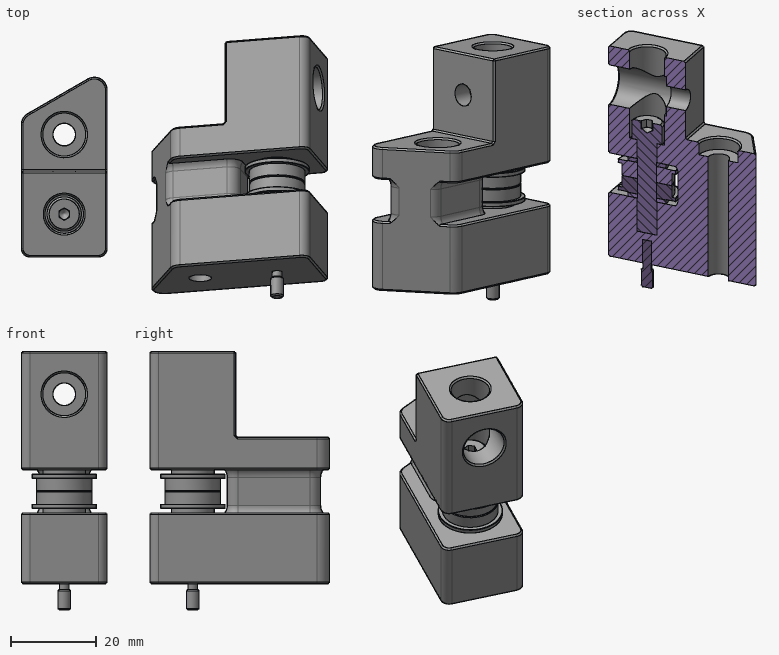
import cadquery as cq
import math

WIDTH = 20.0
HALF_WIDTH = WIDTH / 2
FRONT_Y = -HALF_WIDTH
TOWER_BACK_Y = HALF_WIDTH

SLOPE = math.radians(30)
LEFT_SIDE_LENGTH = 32.5
SLOPE_START_Y = FRONT_Y + LEFT_SIDE_LENGTH
FRONT_CORNER_RADIUS = 2.0
BACK_CORNER_RADIUS = 3.0
EDGE_CHAMFER = 0.4

BASE_HEIGHT = 16.5
GAP = 10.0
LEDGE_THICKNESS = 7.6
TOWER_RISE = 20.0
UPPER_Z = BASE_HEIGHT + GAP
LEDGE_Z = UPPER_Z + LEDGE_THICKNESS
TOP_Z = LEDGE_Z + TOWER_RISE

NECK_HALF_WIDTH = 11.5 / 2
NECK_FRONT_Y = 8.0
NECK_CORNER_RADIUS = 2.5
FLARE_RADIUS = 3.0
FLARE_HEIGHT = 1.75
FLARE_SLAB_THICKNESS = 5.0
FLARE_SLAB_SIZE = 60.0

BOLT_DIAMETER = 5.2
COUNTERBORE_DIAMETER = 10.0
LEDGE_BOLT_Y = 18.5
LEDGE_COUNTERBORE_DEPTH = 3.2
FRONT_BOLT_Z = (LEDGE_Z + TOP_Z) / 2
FRONT_COUNTERBORE_DEPTH = 15.0

SCREW_BORE_DIAMETER = 8.95
HEAD_SEAT_Z = 31.5
HEAD_DIAMETER = 8.0
HEAD_HEIGHT = 5.0
HEAD_CHAMFER = 0.5
SHANK_DIAMETER = 5.0
SHANK_END_Z = 8.0
SOCKET_ACROSS_FLATS = 2.5
SOCKET_ACROSS_CORNERS = SOCKET_ACROSS_FLATS / math.cos(math.pi / 6)
SOCKET_TURN = 30.0
SOCKET_DEPTH = 2.0
SOCKET_TIP_DEPTH = 0.8

BEARING_DIAMETER = 13.0
BEARING_WIDTH = 4.0
BEARING_CHAMFER = 0.2
FLANGE_DIAMETER = 15.0
FLANGE_THICKNESS = 1.0
FLANGE_CHAMFER = 0.1
WASHER_DIAMETER = 10.0
WASHER_THICKNESS = (GAP - 2 * BEARING_WIDTH) / 2

PIN_DIAMETER = 3.0
PIN_NECK_DIAMETER = 2.3
PIN_PROTRUSION = 6.1
PIN_NECK_EXPOSED = 1.3
PIN_INSERTION = 6.0


def cylinder(diameter, bottom_z, top_z):
    return cq.Workplane("XY").workplane(offset=bottom_z).circle(diameter / 2).extrude(top_z - bottom_z)


def sloped_prism(half_width, front_y, bottom_z, top_z, front_radius, back_radius):
    """Prism whose back face lies in the housing's sloping back plane."""
    def back_y(x):
        return SLOPE_START_Y + (x + HALF_WIDTH) * math.tan(SLOPE)

    corners = [
        (-half_width, front_y),
        (half_width, front_y),
        (half_width, back_y(half_width)),
        (-half_width, back_y(-half_width)),
    ]
    prism = cq.Workplane("XY").workplane(offset=bottom_z).polyline(corners).close().extrude(top_z - bottom_z)
    prism = prism.faces("<Y").edges("|Z").fillet(front_radius)
    return prism.faces(">Y").edges("|Z").fillet(back_radius)


def housing_prism(bottom_z, top_z):
    return sloped_prism(HALF_WIDTH, FRONT_Y, bottom_z, top_z, FRONT_CORNER_RADIUS, BACK_CORNER_RADIUS)


def make_base_block():
    return housing_prism(0, BASE_HEIGHT).faces("<Z or >Z").chamfer(EDGE_CHAMFER)


def make_upper_block():
    """Ledge and tower, with the inside corner between them filled to a bevel."""
    above_ledge = (
        cq.Workplane("XY", origin=(0, TOWER_BACK_Y, LEDGE_Z))
        .box(2 * WIDTH, 2 * LEFT_SIDE_LENGTH, TOWER_RISE, centered=(True, False, False))
    )
    block = housing_prism(UPPER_Z, TOP_Z).cut(above_ledge)
    ledge_face = cq.selectors.NearestToPointSelector((0, LEDGE_BOLT_Y, LEDGE_Z))
    tower_back_face = cq.selectors.NearestToPointSelector((0, TOWER_BACK_Y, FRONT_BOLT_Z))
    chamfered = block.faces("<Z or >Z").edges()
    chamfered = chamfered.add(block.faces(ledge_face).edges())
    chamfered = chamfered.add(block.faces(tower_back_face).edges("|Z"))
    return chamfered.chamfer(EDGE_CHAMFER)


def make_neck():
    """Neck flush with the sloping back, flaring along an arc that the blocks cut short.

    The arc is a fillet against two wide slabs set deeper than the block faces;
    only the part inside the housing outline and near the gap is kept.
    """
    lower_slab_z = BASE_HEIGHT + FLARE_HEIGHT - FLARE_RADIUS
    upper_slab_z = UPPER_Z - FLARE_HEIGHT + FLARE_RADIUS
    neck = sloped_prism(NECK_HALF_WIDTH, NECK_FRONT_Y, lower_slab_z, upper_slab_z,
                        NECK_CORNER_RADIUS, NECK_CORNER_RADIUS)
    for slab_z, thickness in ((lower_slab_z, -FLARE_SLAB_THICKNESS), (upper_slab_z, FLARE_SLAB_THICKNESS)):
        slab = (
            cq.Workplane("XY", origin=(0, LEDGE_BOLT_Y, slab_z))
            .rect(FLARE_SLAB_SIZE, FLARE_SLAB_SIZE)
            .extrude(thickness)
        )
        neck = neck.union(slab)
        foot_edges = cq.selectors.BoxSelector(
            (-HALF_WIDTH, LEDGE_BOLT_Y - WIDTH, slab_z - FLARE_SLAB_THICKNESS / 10),
            (HALF_WIDTH, LEDGE_BOLT_Y + WIDTH, slab_z + FLARE_SLAB_THICKNESS / 10),
        )
        neck = neck.edges(foot_edges).fillet(FLARE_RADIUS)
    return neck.intersect(housing_prism(BASE_HEIGHT - EDGE_CHAMFER, UPPER_Z + EDGE_CHAMFER))


def bore(axis_plane, diameter, depth):
    """Bore cutter with a chamfered mouth, going down from the plane's origin."""
    radius = diameter / 2
    hole = axis_plane.circle(radius).extrude(-depth)
    mouth = axis_plane.circle(radius + EDGE_CHAMFER).workplane(offset=-EDGE_CHAMFER).circle(radius).loft()
    return hole.union(mouth)


def make_housing():
    housing = make_base_block().union(make_neck()).union(make_upper_block())

    ledge = cq.Workplane("XY", origin=(0, LEDGE_BOLT_Y, LEDGE_Z))
    housing = housing.cut(bore(ledge, COUNTERBORE_DIAMETER, LEDGE_COUNTERBORE_DEPTH))
    housing = housing.cut(ledge.circle(BOLT_DIAMETER / 2).extrude(-LEDGE_Z))

    front = cq.Workplane("XZ", origin=(0, FRONT_Y, FRONT_BOLT_Z))
    housing = housing.cut(bore(front, COUNTERBORE_DIAMETER, FRONT_COUNTERBORE_DEPTH))
    housing = housing.cut(front.circle(BOLT_DIAMETER / 2).extrude(-WIDTH))

    tower_top = cq.Workplane("XY", origin=(0, 0, TOP_Z))
    housing = housing.cut(bore(tower_top, SCREW_BORE_DIAMETER, TOP_Z - HEAD_SEAT_Z))
    housing = housing.cut(cylinder(SHANK_DIAMETER, SHANK_END_Z, HEAD_SEAT_Z))
    return housing.cut(cylinder(PIN_NECK_DIAMETER, 0, PIN_INSERTION))


def make_screw():
    head_top_z = HEAD_SEAT_Z + HEAD_HEIGHT
    head = cylinder(HEAD_DIAMETER, HEAD_SEAT_Z, head_top_z).faces(">Z").chamfer(HEAD_CHAMFER)
    screw = head.union(cylinder(SHANK_DIAMETER, SHANK_END_Z, HEAD_SEAT_Z))
    socket = (
        cq.Workplane("XY").workplane(offset=head_top_z)
        .transformed(rotate=(0, 0, SOCKET_TURN))
        .polygon(6, SOCKET_ACROSS_CORNERS)
        .extrude(-SOCKET_DEPTH)
    )
    cone = cq.Solid.makeCone(SOCKET_ACROSS_FLATS / 2, 0, SOCKET_TIP_DEPTH,
                             cq.Vector(0, 0, head_top_z - SOCKET_DEPTH), cq.Vector(0, 0, -1))
    return screw.cut(socket).cut(cq.Workplane(cone))


def make_washer(bottom_z):
    top_z = bottom_z + WASHER_THICKNESS
    return cylinder(WASHER_DIAMETER, bottom_z, top_z).cut(cylinder(SHANK_DIAMETER, bottom_z, top_z))


def make_bearing(flange_z, direction):
    """Bearing whose flanged face is at flange_z and whose body extends along direction (+1 or -1)."""
    body = cylinder(BEARING_DIAMETER, 0, BEARING_WIDTH)
    body = body.faces(">Z").chamfer(BEARING_CHAMFER)
    flange = cylinder(FLANGE_DIAMETER, 0, FLANGE_THICKNESS).edges().chamfer(FLANGE_CHAMFER)
    bearing = body.union(flange).cut(cylinder(SHANK_DIAMETER, 0, BEARING_WIDTH))
    if direction < 0:
        bearing = bearing.mirror("XY")
    return bearing.translate((0, 0, flange_z))


def make_pin():
    """Pin with a chamfered full-diameter end and a thinner neck set into the base block."""
    chamfer = (PIN_DIAMETER - PIN_NECK_DIAMETER) / 2
    end = cylinder(PIN_DIAMETER, -PIN_PROTRUSION, -PIN_NECK_EXPOSED).edges().chamfer(chamfer)
    return end.union(cylinder(PIN_NECK_DIAMETER, -PIN_NECK_EXPOSED, PIN_INSERTION))


housing = make_housing()
screw = make_screw()
pin = make_pin()
washers = [make_washer(z) for z in (BASE_HEIGHT, UPPER_Z - WASHER_THICKNESS)]
bearings = [
    make_bearing(BASE_HEIGHT + WASHER_THICKNESS, 1),
    make_bearing(UPPER_Z - WASHER_THICKNESS, -1),
]

result = cq.Compound.makeCompound(
    [housing.val(), screw.val(), pin.val()]
    + [washer.val() for washer in washers]
    + [bearing.val() for bearing in bearings]
)